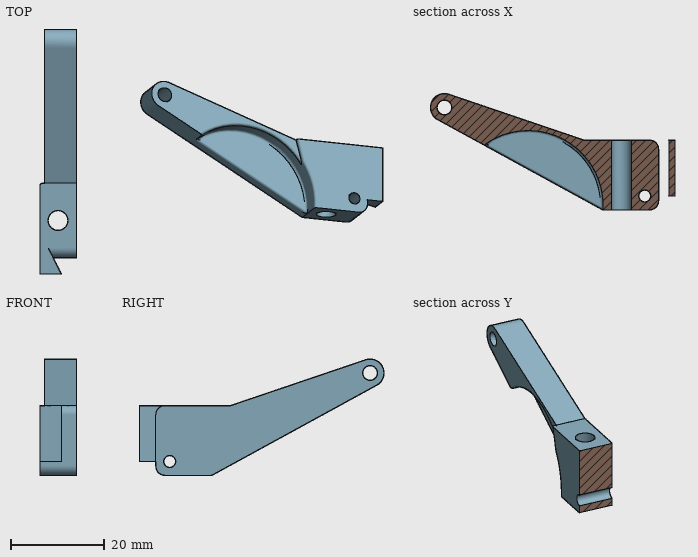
import cadquery as cq
import math


width = 7.9
length = 52.49
height = 25.0

block_top = 15.0
block_front = 3.5
block_corner_radius = 2.0
screw_hole_diameter = 4.2
screw_hole_x = 3.9
screw_hole_y = 11.5
pin_hole_diameter = 2.5
pin_hole_y = 6.5
pin_hole_z = 3.0

nose_bottom = 3.0
nose_front_width = 4.65
nose_root_width = 1.85
nose_root_y = block_front + block_corner_radius

arm_left = 1.0
eye_radius = 3.0
eye_hole_diameter = 3.1
eye_y = length - eye_radius
eye_z = height - eye_radius
bend_y = 19.5
bend = (bend_y, block_top)

recess_radius = 16.0
recess_to_eye = 18.0
recess_y = eye_y - recess_to_eye
recess_z = 1.0
web_thickness = 2.9
web_left = width - web_thickness
edge_radius = 0.5

tolerance = 1e-3

heel = (recess_y - math.sqrt(recess_radius**2 - recess_z**2), 0.0)


def eye_tangent_point(point, side):
    """Point where a line from `point` touches the eye; side is +1 above the eye, -1 below it."""
    dy = eye_y - point[0]
    dz = eye_z - point[1]
    tangent_slope = math.atan2(dz, dy) + side * math.asin(eye_radius / math.hypot(dy, dz))
    return (
        eye_y - side * eye_radius * math.sin(tangent_slope),
        eye_z + side * eye_radius * math.cos(tangent_slope),
    )


def extrude_side(outline, x_start, x_end):
    """Extrude a closed (Y, Z) outline along X between two positions."""
    return outline.extrude(x_end - x_start).translate((x_start, 0, 0))


def front_outline():
    """Open outline from the heel, around the rounded block front, to the bend on top."""
    r = block_corner_radius
    diagonal = r * (1 - math.sqrt(0.5))
    return (
        cq.Workplane("YZ")
        .moveTo(*heel)
        .lineTo(block_front + r, 0)
        .threePointArc((block_front + diagonal, diagonal), (block_front, r))
        .lineTo(block_front, block_top - r)
        .threePointArc(
            (block_front + diagonal, block_top - diagonal),
            (block_front + r, block_top),
        )
        .lineTo(*bend)
    )


def recess(x_start):
    """Round cutter from `x_start` to the face of the web."""
    disc = cq.Workplane("YZ").center(recess_y, recess_z).circle(recess_radius)
    return extrude_side(disc, x_start, web_left)


def edges_at(body, x, accept):
    """Edges of `body` in the plane X = x whose middle point passes `accept(y, z)`."""
    chosen = []
    for edge in body.edges().vals():
        box = edge.BoundingBox()
        middle = edge.positionAt(0.5)
        in_plane = abs(box.xmin - x) < tolerance and abs(box.xmax - x) < tolerance
        if in_plane and accept(middle.y, middle.z):
            chosen.append(edge)
    return body.newObject(chosen)


def on_recess_wall(y, z):
    return abs(math.hypot(y - recess_y, z - recess_z) - recess_radius) < tolerance


def on_line(start, end):
    """Test for points on the straight line through two (Y, Z) points."""
    dy = end[0] - start[0]
    dz = end[1] - start[1]

    def test(y, z):
        return abs(dy * (z - start[1]) - dz * (y - start[0])) / math.hypot(dy, dz) < tolerance

    return test


def make_arm():
    """Arm and block core over the arm width, with the recess and its rounded edges."""
    outline = (
        front_outline()
        .lineTo(*eye_tangent_point(bend, 1))
        .threePointArc((length, eye_z), eye_tangent_point(heel, -1))
        .close()
    )
    body = extrude_side(outline, arm_left, width).cut(recess(arm_left))
    lower_edge = on_line(heel, eye_tangent_point(heel, -1))
    web_edges = edges_at(body, web_left, lambda y, z: on_recess_wall(y, z) or lower_edge(y, z))
    body = web_edges.fillet(edge_radius)
    return edges_at(body, arm_left, on_recess_wall).fillet(edge_radius)


def make_block_pad():
    """Raised -X side of the block, bounded behind by the step down to the arm and the recess."""
    pad_depth = web_left - edge_radius
    body = extrude_side(front_outline().close(), 0, pad_depth).cut(recess(0))
    step = on_line(heel, bend)
    return edges_at(body, 0, lambda y, z: step(y, z) or on_recess_wall(y, z)).fillet(edge_radius)


def make_nose():
    return (
        cq.Workplane("XY", origin=(0, 0, nose_bottom))
        .polyline([(0, 0), (nose_front_width, 0), (nose_root_width, nose_root_y), (0, nose_root_y)])
        .close()
        .extrude(block_top - nose_bottom)
    )


def cross_hole(y, z, diameter):
    return extrude_side(cq.Workplane("YZ").center(y, z).circle(diameter / 2), 0, width)


def screw_hole():
    return (
        cq.Workplane("XY")
        .center(screw_hole_x, screw_hole_y)
        .circle(screw_hole_diameter / 2)
        .extrude(block_top)
    )


result = (
    make_arm()
    .union(make_block_pad())
    .union(make_nose())
    .cut(cross_hole(eye_y, eye_z, eye_hole_diameter))
    .cut(cross_hole(pin_hole_y, pin_hole_z, pin_hole_diameter))
    .cut(screw_hole())
)